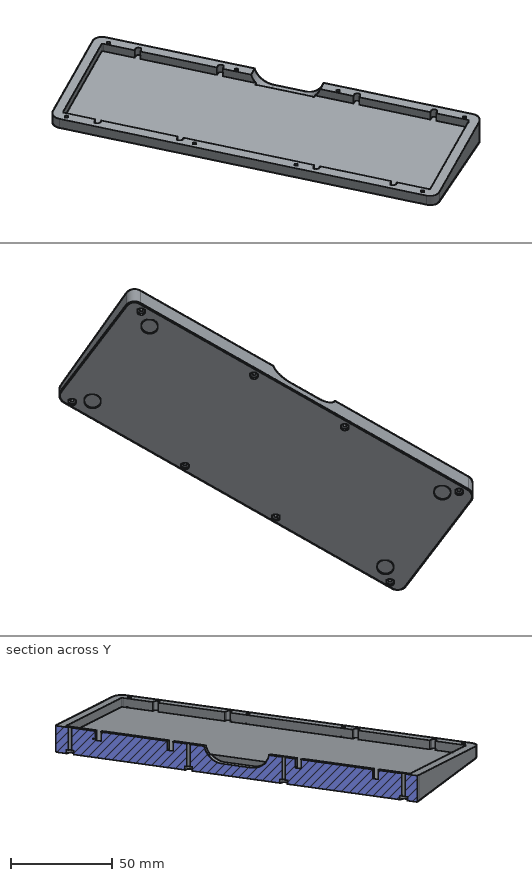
import cadquery as cq
import math

length = 201.5
width = 70.1
height = 14.1
slope_angle = 6.6
corner_radius = 5.0
bottom_chamfer = 0.5

pocket_margin_x = 5.0
pocket_margin_y = 5.5
pocket_depth = 4.6
pocket_corner_radius = 0.6

notch_width = 3.0
notch_reach = 2.8
notch_places_x = (-77.2, -34.2, 36.9, 77.0)

screw_diameter = 1.63
screw_head_diameter = 4.0
screw_head_depth = 2.0
screw_places_x = (-92.9, -26.2, 26.8, 92.7)
screw_places_y = (-32.2, 31.2)

opening_flat = 16.3
opening_radius = 10.0
opening_depth = 7.7
opening_reach = 6.6

foot_diameter = 8.3
foot_depth = 0.8
foot_places_x = (-86.2, 84.6)
foot_places_y = (-26.2, 26.2)

front_y = -width / 2
rear_y = width / 2
pocket_floor = height - pocket_depth
pocket_width = width - 2 * pocket_margin_y
slope = math.tan(math.radians(slope_angle))
sharp_edge_drop = bottom_chamfer * math.sin(math.radians(slope_angle))


def bottom_z(y):
    """Height of the sloping underside at a given y."""
    return slope * (rear_y - y) - sharp_edge_drop


def bottom_plane(x, y):
    """Work plane on the underside, facing up into the body."""
    angle = math.radians(slope_angle)
    return cq.Plane(
        origin=(x, y, bottom_z(y)),
        xDir=(1, 0, 0),
        normal=(0, math.sin(angle), math.cos(angle)),
    )


def make_body():
    """Wedge with rounded upright corners and a chamfered lower rim."""
    body = (
        cq.Workplane("YZ")
        .moveTo(front_y, bottom_z(front_y))
        .lineTo(rear_y, bottom_z(rear_y))
        .lineTo(rear_y, height)
        .lineTo(front_y, height)
        .close()
        .extrude(length / 2, both=True)
    )
    body = body.edges("|Z").fillet(corner_radius)
    return body.faces("<Z").chamfer(bottom_chamfer)


def make_pocket():
    """Rectangular pocket with its round-ended wall notches."""
    pocket = (
        cq.Workplane("XY", origin=(0, 0, pocket_floor))
        .rect(length - 2 * pocket_margin_x, pocket_width)
        .extrude(pocket_depth)
        .edges("|Z")
        .fillet(pocket_corner_radius)
    )
    notches = (
        cq.Workplane("XY", origin=(0, 0, pocket_floor))
        .pushPoints([(x, 0) for x in notch_places_x])
        .slot2D(pocket_width + 2 * notch_reach, notch_width, 90)
        .extrude(pocket_depth)
    )
    return pocket.union(notches)


def make_screw_hole(x, y):
    """Upright through hole with a counterbore sunk into the underside."""
    hole = cq.Workplane("XY", origin=(x, y, 0)).circle(screw_diameter / 2).extrude(height)
    head = (
        cq.Workplane("XY", origin=(x, y, 0))
        .circle(screw_head_diameter / 2)
        .extrude(bottom_z(y) + screw_head_depth)
    )
    return hole.union(head)


def make_opening():
    """Flat-bottomed opening whose sides sweep up in arcs tangent to its floor."""
    floor = height - opening_depth
    flat_half = opening_flat / 2
    arc_run = math.sqrt(opening_radius**2 - (opening_radius - opening_depth) ** 2)
    mid_angle = math.acos(1 - opening_depth / opening_radius) / 2
    mid_x = flat_half + opening_radius * math.sin(mid_angle)
    mid_z = floor + opening_radius * (1 - math.cos(mid_angle))
    top_x = flat_half + arc_run
    return (
        cq.Workplane("XZ", origin=(0, rear_y, 0))
        .moveTo(-flat_half, floor)
        .lineTo(flat_half, floor)
        .threePointArc((mid_x, mid_z), (top_x, height))
        .lineTo(-top_x, height)
        .threePointArc((-mid_x, mid_z), (-flat_half, floor))
        .close()
        .extrude(opening_reach)
    )


def make_foot_recess(x, y):
    """Shallow round recess square to the sloping underside."""
    return cq.Workplane(bottom_plane(x, y)).circle(foot_diameter / 2).extrude(foot_depth)


result = make_body().cut(make_pocket()).cut(make_opening())
for screw_y in screw_places_y:
    for screw_x in screw_places_x:
        result = result.cut(make_screw_hole(screw_x, screw_y))
for foot_y in foot_places_y:
    for foot_x in foot_places_x:
        result = result.cut(make_foot_recess(foot_x, foot_y))